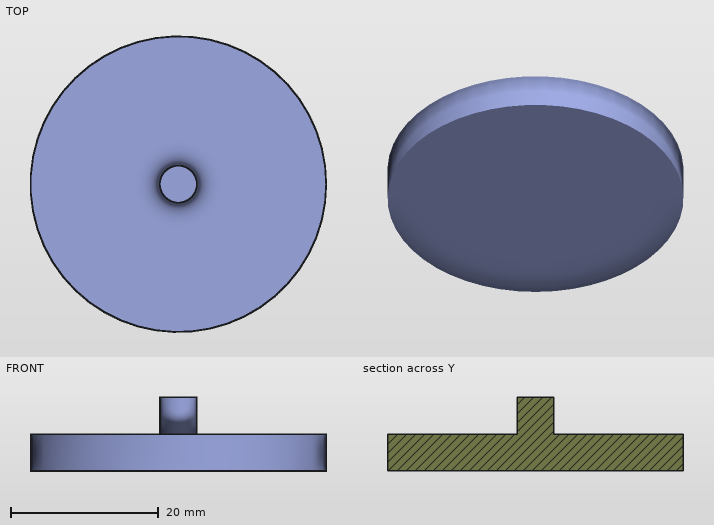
import cadquery as cq

disc_diameter = 40.0
disc_thickness = 5.0
pin_diameter = 5.0
pin_height = 5.0

disc = cq.Workplane("XY").circle(disc_diameter / 2).extrude(disc_thickness)

pin = (
    cq.Workplane("XY")
    .workplane(offset=disc_thickness)
    .circle(pin_diameter / 2)
    .extrude(pin_height)
)

result = disc.union(pin)